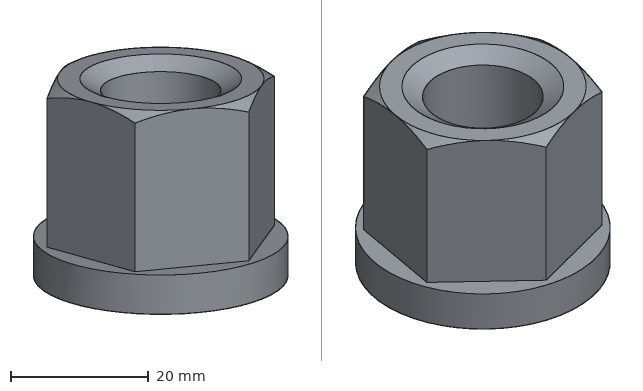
import cadquery as cq
import math

total_height = 30.0
flange_diameter = 37.0
flange_height = 6.0
hexagon_sides = 6
across_flats = 30.0
hexagon_turn = 90.0
bore_diameter = 17.5
countersink_diameter = 23.5
cone_slope = math.radians(30.0)

across_corners = across_flats / math.cos(math.pi / hexagon_sides)
flat_radius = across_flats / 2
corner_radius = across_corners / 2
corner_drop = (corner_radius - flat_radius) * math.tan(cone_slope)
bore_radius = bore_diameter / 2
countersink_radius = countersink_diameter / 2
countersink_depth = (countersink_radius - bore_radius) * math.tan(cone_slope)


def revolve_profile(points):
    """Turn a closed (radius, height) outline into a solid about the Z axis."""
    return cq.Workplane("XZ").polyline(points).close().revolve(360, (0, 0), (0, 1))


def make_flange():
    return cq.Workplane("XY").circle(flange_diameter / 2).extrude(flange_height)


def make_hexagon():
    """Hexagonal prism with two corners on the Y axis and its top corners cut by a cone."""
    prism = (
        cq.Workplane("XY")
        .polygon(hexagon_sides, across_corners)
        .extrude(total_height)
        .rotate((0, 0, 0), (0, 0, 1), hexagon_turn)
    )
    chamfer_envelope = revolve_profile([
        (0, 0),
        (corner_radius, 0),
        (corner_radius, total_height - corner_drop),
        (flat_radius, total_height),
        (0, total_height),
    ])
    return prism.intersect(chamfer_envelope)


def make_bore():
    """Through bore with a conical countersink at the top."""
    return revolve_profile([
        (0, 0),
        (bore_radius, 0),
        (bore_radius, total_height - countersink_depth),
        (countersink_radius, total_height),
        (0, total_height),
    ])


result = make_flange().union(make_hexagon()).cut(make_bore())